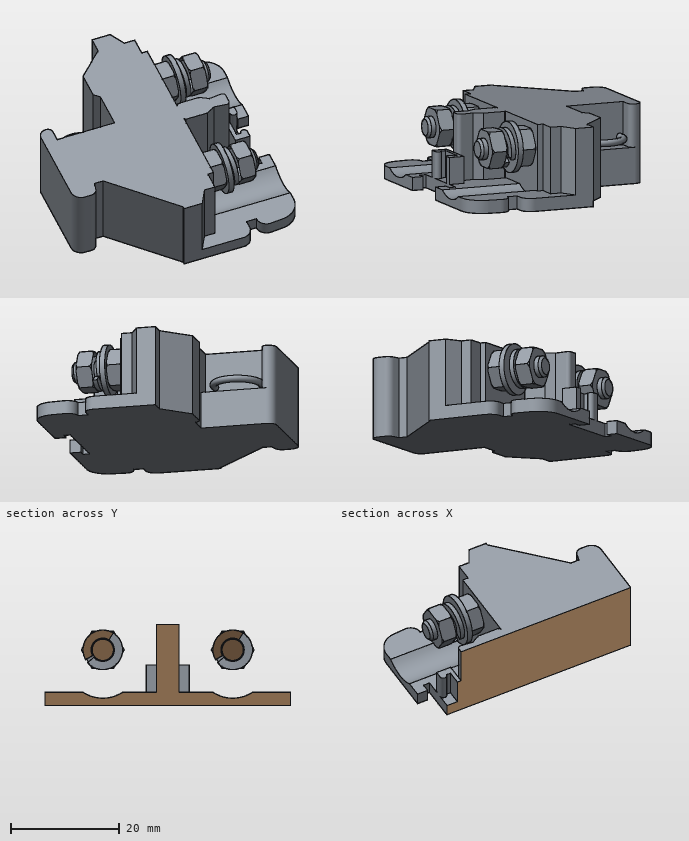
import cadquery as cq
import math


width = 46.0
length = 42.0
thickness = 15.0
base_thickness = 2.5
groove_depth = 1.1

shoulder_y = 17.95
left_slope_x = -20.0
left_slope_drop = 4.95
left_lug_end_x = -10.05
lug_chamfer = 1.05
foot_left_x = -5.05
foot_left_radius = 1.55
foot_right_x = 13.5
foot_right_radius = 2.02
foot_tip_radius = 1.4
foot_tip_y = 4.32
neck_x = 10.95
neck_bottom_y = 4.9
neck_top_y = 6.62
right_slope_x = 22.55

shoulder_top_y = 31.8
shoulder_radius = 2.02
notch_x = 19.45
ear_bottom_y = 33.7
ear_bottom_x = 21.65
ear_bottom_radius = 2.0
ear_top_x = 20.98
ear_top_radius = 4.0
mouth_x = 5.2
undercut_x = 6.75
undercut_top_y = 39.9
undercut_bottom_y = 38.65

wall_side_y = 21.55
wall_slope_x = 20.0
wall_slope_y = 23.2
wall_step_x = 16.5
wall_step_y = 25.25
wall_top_y = 26.35

pocket_wall_x = -1.95
pocket_floor_z = 6.85
lip_y = 2.6
lip_radius = 1.0

holder_width = 8.0
holder_bottom_y = 35.7
holder_top_z = 7.55
slot_half_width = 2.6
slot_throat_half_width = 2.02
slot_bottom_y = 36.5
slot_bump_bottom_y = 37.3

post_end_half_width = 1.45
post_end_radius = 0.65
post_waist_half_width = 1.15
post_waist_y = 32.55
post_bulb_half_width = 2.1
post_bulb_top_y = 30.9
post_bulb_bottom_y = 26.7
post_tip_y = 25.75

screw_x = 12.0
screw_z = 10.3
hex_across_flats = 6.9
hex_height = 3.0
hex_face_diameter = 7.35
stud_diameter = 4.0
stud_end_y = 36.52
stud_chamfer = 0.45
washer_diameter = 9.5
washer_thickness = 1.0
spring_washer_outer_diameter = 7.35
spring_washer_hole_diameter = 4.3
spring_washer_thickness = 0.87
spring_washer_gap = 1.8
spring_washer_bite = 0.05
spring_washer_sweep = 350.0
spring_washer_start_angle = 150.0

ring_outer_radius = 5.1
ring_wire_diameter = 1.25
ring_centre_x = -2.6
ring_z = 8.45


def rounded_outline(corners):
    """Closed outline on XY from (x, y, radius) corners; radius 0 keeps a corner sharp."""
    points = [cq.Vector(x, y) for x, y, _ in corners]
    sketch = None
    for i, (corner, (_, _, radius)) in enumerate(zip(points, corners)):
        to_previous = (points[i - 1] - corner).normalized()
        to_next = (points[(i + 1) % len(points)] - corner).normalized()
        half_angle = to_previous.getAngle(to_next) / 2
        setback = radius / math.tan(half_angle)
        arc_start = corner + to_previous * setback
        if sketch is None:
            sketch = cq.Workplane("XY").moveTo(arc_start.x, arc_start.y)
        else:
            sketch = sketch.lineTo(arc_start.x, arc_start.y)
        if radius > 0:
            bisector = (to_previous + to_next).normalized()
            arc_middle = corner + bisector * (radius / math.sin(half_angle) - radius)
            arc_end = corner + to_next * setback
            sketch = sketch.threePointArc((arc_middle.x, arc_middle.y), (arc_end.x, arc_end.y))
    return sketch.close()


def mirrored(right_side):
    """The left-hand counterpart of (x, y, radius) corners, in reverse order."""
    return [(-x, y, radius) for x, y, radius in reversed(right_side)]


def lower_corners():
    """Corners below the shoulders, from the left shoulder round to the right one."""
    lug_y = shoulder_y - left_slope_drop
    underside_y = lug_y + lug_chamfer
    return [
        (-width / 2, shoulder_y, 0),
        (left_slope_x, shoulder_y, 0),
        (left_slope_x + left_slope_drop, lug_y, 0),
        (left_lug_end_x, lug_y, 0),
        (left_lug_end_x + lug_chamfer, underside_y, 0),
        (foot_left_x, underside_y, 0),
        (foot_left_x, 0, foot_left_radius),
        (foot_right_x, 0, foot_right_radius),
        (foot_right_x, foot_tip_y, foot_tip_radius),
        (neck_x, neck_bottom_y, 0),
        (neck_x, neck_top_y, 0),
        (right_slope_x, shoulder_y, 0),
        (width / 2, shoulder_y, 0),
    ]


def make_base():
    right_side = [
        (width / 2, shoulder_top_y, shoulder_radius),
        (notch_x, shoulder_top_y, 0),
        (notch_x, ear_bottom_y, 0),
        (ear_bottom_x, ear_bottom_y, ear_bottom_radius),
        (ear_top_x, length, ear_top_radius),
        (mouth_x, length, 0),
        (mouth_x, undercut_top_y, 0),
        (undercut_x, undercut_top_y, 0),
        (undercut_x, undercut_bottom_y, 0),
    ]
    outline = rounded_outline(lower_corners() + right_side + mirrored(right_side))
    return outline.extrude(base_thickness)


def make_wall():
    right_side = [
        (width / 2, wall_side_y, 0),
        (wall_slope_x, wall_slope_y, 0),
        (wall_slope_x, wall_step_y, 0),
        (wall_step_x, wall_step_y, 0),
        (wall_step_x, wall_top_y, 0),
    ]
    outline = rounded_outline(lower_corners() + right_side + mirrored(right_side))
    return outline.extrude(thickness)


def make_spring_pocket():
    """Cutter that leaves a round-nosed lip at the foot."""
    top_y = shoulder_y - left_slope_drop + lug_chamfer
    lip_nose_y = lip_y - lip_radius
    lip_start_x = foot_left_x + lip_radius
    nose_offset = lip_radius * (1 - math.sqrt(0.5))
    outline = (
        cq.Workplane("XY", origin=(0, 0, pocket_floor_z))
        .moveTo(foot_left_x, top_y)
        .lineTo(foot_left_x, lip_nose_y)
        .threePointArc((foot_left_x + nose_offset, lip_y - nose_offset), (lip_start_x, lip_y))
        .lineTo(pocket_wall_x, lip_y)
        .lineTo(pocket_wall_x, top_y)
        .close()
    )
    return outline.extrude(thickness - pocket_floor_z)


def make_marker_holder():
    """Block on the base with an undercut slot open to +Y."""
    height = holder_top_z - base_thickness
    depth = undercut_bottom_y - holder_bottom_y
    block = (
        cq.Workplane("XY", origin=(0, holder_bottom_y + depth / 2, base_thickness))
        .rect(holder_width, depth)
        .extrude(height)
    )
    bump_middle_y = (slot_bump_bottom_y + undercut_bottom_y) / 2
    slot = (
        cq.Workplane("XY", origin=(0, 0, base_thickness))
        .moveTo(-slot_half_width, slot_bottom_y)
        .lineTo(slot_half_width, slot_bottom_y)
        .lineTo(slot_half_width, slot_bump_bottom_y)
        .threePointArc((slot_throat_half_width, bump_middle_y), (slot_half_width, undercut_bottom_y))
        .lineTo(-slot_half_width, undercut_bottom_y)
        .threePointArc((-slot_throat_half_width, bump_middle_y), (-slot_half_width, slot_bump_bottom_y))
        .close()
        .extrude(height)
    )
    return block.cut(slot)


def make_divider_post():
    """Waisted post between the screws, with a round end that merges into the wall."""
    right_side = [
        (post_bulb_half_width, post_bulb_bottom_y, 0),
        (post_bulb_half_width, post_bulb_top_y, 0),
        (post_waist_half_width, post_waist_y, 0),
        (post_end_half_width, holder_bottom_y, post_end_radius),
    ]
    post = rounded_outline(right_side + mirrored(right_side)).extrude(thickness)
    round_end = (
        cq.Workplane("XY")
        .moveTo(-post_bulb_half_width, post_bulb_bottom_y)
        .threePointArc((0, post_tip_y), (post_bulb_half_width, post_bulb_bottom_y))
        .close()
        .extrude(thickness)
    )
    return post.union(round_end)


def make_screw_groove(x):
    """Shallow round clearance groove in the base, along a screw and up to the wall."""
    half_width = spring_washer_outer_diameter / 2
    return (
        cq.Workplane("XZ", origin=(x, length, base_thickness))
        .moveTo(-half_width, 0)
        .threePointArc((0, -groove_depth), (half_width, 0))
        .close()
        .extrude(length - wall_top_y)
    )


def make_housing():
    base = make_base()
    for x in (-screw_x, screw_x):
        base = base.cut(make_screw_groove(x))
    body = base.union(make_wall()).cut(make_spring_pocket())
    return body.union(make_marker_holder()).union(make_divider_post())


def make_disc(x, y, diameter, height):
    """Cylinder around a screw axis, starting at y and running toward +Y."""
    return cq.Workplane("XZ", origin=(x, y, screw_z)).circle(diameter / 2).extrude(-height)


def make_hexagon(x, y):
    """Hexagon with its corners chamfered at both ends."""
    across_corners = hex_across_flats / math.cos(math.radians(30))
    chamfer = (across_corners - hex_face_diameter) / 2
    prism = cq.Workplane("XZ", origin=(x, y, screw_z)).polygon(6, across_corners).extrude(-hex_height)
    chamfered_disc = make_disc(x, y, across_corners, hex_height).faces("<Y or >Y").chamfer(chamfer)
    return prism.intersect(chamfered_disc)


def make_spring_washer(x, y):
    """One split helical turn that bites slightly into the washer and the nut."""
    mean_radius = (spring_washer_outer_diameter + spring_washer_hole_diameter) / 4
    band_width = (spring_washer_outer_diameter - spring_washer_hole_diameter) / 2
    rise = spring_washer_gap + 2 * spring_washer_bite - spring_washer_thickness
    path = cq.Wire.makeHelix(rise * 360 / spring_washer_sweep, rise, mean_radius)
    turn = (
        cq.Workplane("XZ", origin=(mean_radius, 0, 0))
        .rect(band_width, spring_washer_thickness)
        .sweep(cq.Workplane(path), isFrenet=True)
    )
    return (
        turn.rotate((0, 0, 0), (0, 0, 1), spring_washer_start_angle)
        .rotate((0, 0, 0), (1, 0, 0), -90)
        .translate((x, y + spring_washer_thickness / 2 - spring_washer_bite, screw_z))
    )


def make_terminal_screw(x):
    """Screw with head, flat washer, spring washer and nut as one body."""
    washer_y = wall_top_y + hex_height
    spring_washer_y = washer_y + washer_thickness
    nut_y = spring_washer_y + spring_washer_gap
    stud = make_disc(x, wall_top_y, stud_diameter, stud_end_y - wall_top_y).faces(">Y").chamfer(stud_chamfer)
    return (
        stud.union(make_hexagon(x, wall_top_y))
        .union(make_disc(x, washer_y, washer_diameter, washer_thickness))
        .union(make_hexagon(x, nut_y))
        .union(make_spring_washer(x, spring_washer_y))
    )


def make_ring_spring():
    """Round wire loop, cut off where it meets the pocket wall."""
    mean_radius = ring_outer_radius - ring_wire_diameter / 2
    centre_y = lip_y + ring_outer_radius
    reach = pocket_wall_x - (ring_centre_x - ring_outer_radius)
    ring = cq.Workplane(cq.Solid.makeTorus(mean_radius, ring_wire_diameter / 2)).translate(
        (ring_centre_x, centre_y, ring_z)
    )
    open_side = cq.Workplane("XY", origin=(pocket_wall_x - reach / 2, centre_y, ring_z)).box(
        reach, 2 * ring_outer_radius, ring_wire_diameter
    )
    return ring.intersect(open_side)


housing = make_housing()
terminal_screws = [make_terminal_screw(x) for x in (-screw_x, screw_x)]
ring_spring = make_ring_spring()

result = cq.Compound.makeCompound(
    [body.solids().val() for body in (housing, *terminal_screws, ring_spring)]
)